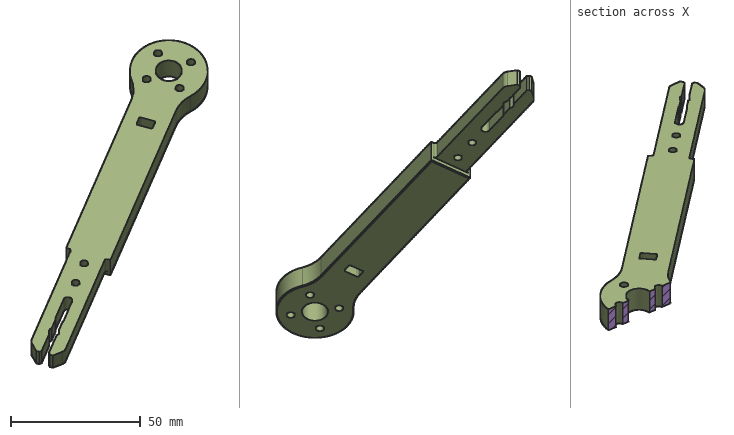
import cadquery as cq
import math

hub_radius = 15.0
hub_bore = 10.0
hub_hole = 3.1
hub_hole_circle_radius = 9.5
neck_radius = 14.5

beam_width = 18.0
beam_end = 95.0
thickness = 10.0
bottom_chamfer = 0.4

tongue_width = 13.9
tongue_end = 146.6
tongue_thickness = 7.7
shoulder_fillet = 1.0
tip_chamfer = 3.6
tip_corner_radius = 3.0
inner_tip_chamfer = 0.7

tongue_hole = 3.0
tongue_hole_positions = (100.0, 110.0)

slot_centre = 119.2
slot_width = 3.4
slot_narrowing = 129.4
narrow_slot_width = 2.9
slot_relief_centre = 135.4
slot_relief_diameter = 4.0

window_centre = 27.1
window_length = 3.9
window_width = 6.5
window_corner_radius = 0.6

arm_angle = -45


def cutter(shape):
    """Extrude a sketch at the underside through the whole thickness."""
    return shape.extrude(thickness)


def make_hub_and_beam():
    """Round hub flowing into the beam, chamfered around the underside."""
    half_width = beam_width / 2
    arc_centre_y = half_width + neck_radius
    centre_distance = hub_radius + neck_radius
    arc_centre_x = math.sqrt(centre_distance**2 - arc_centre_y**2)
    touch_x = arc_centre_x * hub_radius / centre_distance
    touch_y = arc_centre_y * hub_radius / centre_distance

    start_angle = math.atan2(-arc_centre_y, -arc_centre_x)
    middle_angle = (start_angle - math.pi / 2) / 2
    middle_x = arc_centre_x + neck_radius * math.cos(middle_angle)
    middle_y = arc_centre_y + neck_radius * math.sin(middle_angle)

    return (
        cq.Workplane("XY")
        .moveTo(touch_x, touch_y)
        .threePointArc((middle_x, middle_y), (arc_centre_x, half_width))
        .lineTo(beam_end, half_width)
        .lineTo(beam_end, -half_width)
        .lineTo(arc_centre_x, -half_width)
        .threePointArc((middle_x, -middle_y), (touch_x, -touch_y))
        .threePointArc((-hub_radius, 0), (touch_x, touch_y))
        .close()
        .extrude(thickness)
        .faces("<Z")
        .chamfer(bottom_chamfer)
    )


def make_tongue():
    """Tongue with chamfered tip, flush with the top of the beam."""
    length = tongue_end - beam_end
    tongue = (
        cq.Workplane("XY")
        .box(length, tongue_width, tongue_thickness, centered=(False, True, False))
        .translate((beam_end, 0, thickness - tongue_thickness))
        .edges("|Z and >X")
        .chamfer(tip_chamfer)
    )
    chamfer_start = tongue_end - tip_chamfer
    selection_margin = 0.1
    corners = cq.selectors.BoxSelector(
        (chamfer_start - selection_margin, -tongue_width, 0),
        (chamfer_start + selection_margin, tongue_width, thickness),
    )
    return tongue.edges("|Z").edges(corners).fillet(tip_corner_radius)


def make_shoulder_fillet(side):
    """Concave corner fill between the beam end and one side of the tongue."""
    edge_y = tongue_width / 2
    bulge = shoulder_fillet * (1 - math.sqrt(0.5))
    return (
        cq.Workplane("XY")
        .workplane(offset=thickness - tongue_thickness)
        .moveTo(beam_end, side * edge_y)
        .lineTo(beam_end + shoulder_fillet, side * edge_y)
        .threePointArc(
            (beam_end + bulge, side * (edge_y + bulge)),
            (beam_end, side * (edge_y + shoulder_fillet)),
        )
        .close()
        .extrude(tongue_thickness)
    )


def make_slot():
    """Stepped open slot with a round start, a round relief and a flared mouth."""
    half_wide = slot_width / 2
    half_narrow = narrow_slot_width / 2
    half_mouth = half_narrow + inner_tip_chamfer
    mouth_start = tongue_end - inner_tip_chamfer
    slot = cutter(
        cq.Workplane("XY")
        .moveTo(slot_centre, half_wide)
        .lineTo(slot_narrowing, half_wide)
        .lineTo(slot_narrowing, half_narrow)
        .lineTo(mouth_start, half_narrow)
        .lineTo(tongue_end, half_mouth)
        .lineTo(tongue_end, -half_mouth)
        .lineTo(mouth_start, -half_narrow)
        .lineTo(slot_narrowing, -half_narrow)
        .lineTo(slot_narrowing, -half_wide)
        .lineTo(slot_centre, -half_wide)
        .threePointArc((slot_centre - half_wide, 0), (slot_centre, half_wide))
        .close()
    )
    relief = cutter(cq.Workplane("XY").center(slot_relief_centre, 0).circle(slot_relief_diameter / 2))
    return slot.union(relief)


def make_holes():
    bore = cutter(cq.Workplane("XY").circle(hub_bore / 2))
    hub_holes = cutter(
        cq.Workplane("XY").polarArray(hub_hole_circle_radius, -arm_angle, 360, 4).circle(hub_hole / 2)
    )
    tongue_points = [(x, 0) for x in tongue_hole_positions]
    tongue_holes = cutter(cq.Workplane("XY").pushPoints(tongue_points).circle(tongue_hole / 2))
    window = cutter(cq.Workplane("XY").center(window_centre, 0).rect(window_length, window_width))
    window = window.edges("|Z").fillet(window_corner_radius)
    return bore.union(hub_holes).union(tongue_holes).union(window)


arm = make_hub_and_beam().union(make_tongue())
for side in (1, -1):
    arm = arm.union(make_shoulder_fillet(side))
arm = arm.cut(make_slot()).cut(make_holes())

result = arm.rotate((0, 0, 0), (0, 0, 1), arm_angle)